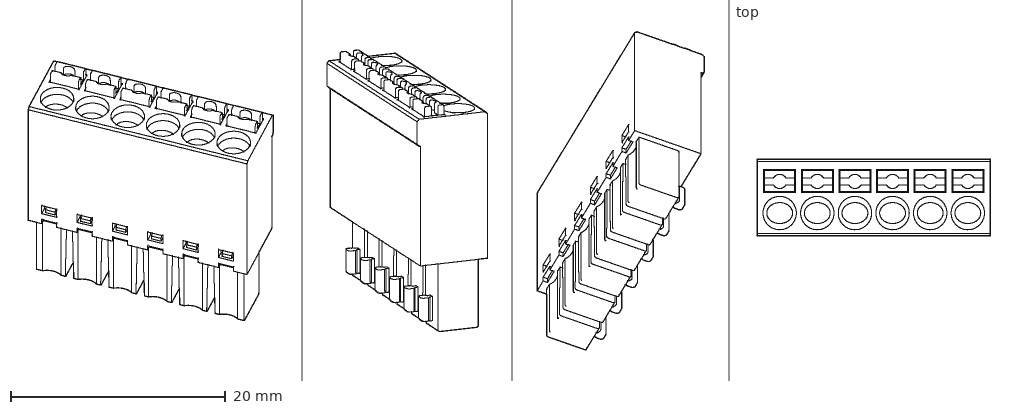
import cadquery as cq


pole_count = 6
pole_pitch = 3.5
pole_places = [(i - (pole_count - 1) / 2) * pole_pitch for i in range(pole_count)]

total_height = 21.9
body_width = 21.7
total_depth = 7.15

body_bottom = 6.75
body_top = 20.95
lip_depth = 0.33
lip_height = 2.63
body_back = total_depth - lip_depth
body_chamfer = 0.22

entry_diameter = 3.1
entry_y = 2.12
entry_depth = 0.88
funnel_depth = 0.72
oval_width = 2.4
oval_depth = 1.95
oval_hole_depth = 4.38

pocket_width = 2.98
pocket_front = 4.05
pocket_back = 6.18
pocket_depth = 0.44
button_width = 2.8
button_front = 4.12
button_back = 6.09
channel_front = 4.75
channel_back = 5.39
tool_notch_diameter = 1.31
button_fillet = 0.18

window_width = 1.5
window_bottom = 8.02
window_height = 1.0
window_depth = 0.77
wedge_width = 0.96
wedge_front = 0.26
wedge_step = 0.35
wedge_height = 0.85
notch_height = 0.53
notch_depth = 0.44

plug_front = 0.7
plug_back = 4.8
plug_top_half_width = 1.47
plug_tip_half_width = 1.34
plug_outer_half_width = 1.53
plug_fillet = 0.22
groove_width = 1.82
groove_depth = 0.28

latch_bottom = 0.75
latch_top = 3.09
latch_neck_length = 0.28
latch_flare_length = 0.25
latch_length = 1.2
latch_neck_width = 0.53
latch_head_width = latch_neck_width + 2 * latch_flare_length
latch_fillet = 0.33


def box(x_center, width, y_front, y_back, z_bottom, z_top):
    """Box centred on x_center and spanning the given Y and Z ranges."""
    return (
        cq.Workplane("XY")
        .box(width, y_back - y_front, z_top - z_bottom, centered=(True, False, False))
        .translate((x_center, y_front, z_bottom))
    )


def along_x(points, x_center, width):
    """Prism of the given width, with its (Y, Z) outline extruded along X."""
    return (
        cq.Workplane("YZ")
        .polyline(points)
        .close()
        .extrude(width)
        .translate((x_center - width / 2, 0, 0))
    )


def make_body():
    """Housing with chamfered top edges and a lip along the top of its back face."""
    lip_bottom = body_top - lip_height
    outline = [
        (0, body_bottom),
        (body_back, body_bottom),
        (body_back, lip_bottom),
        (total_depth - body_chamfer, lip_bottom),
        (total_depth, lip_bottom + body_chamfer),
        (total_depth, body_top - body_chamfer),
        (total_depth - body_chamfer, body_top),
        (body_chamfer, body_top),
        (0, body_top - body_chamfer),
    ]
    return along_x(outline, 0, body_width)


def make_wire_entry(x):
    """Cutter for one wire entry."""
    funnel_top = body_top - entry_depth
    funnel_bottom = funnel_top - funnel_depth
    entry = (
        cq.Workplane("XY", origin=(x, entry_y, funnel_top))
        .circle(entry_diameter / 2)
        .extrude(entry_depth)
    )
    funnel = (
        cq.Workplane("XY", origin=(x, entry_y, funnel_top))
        .ellipse(entry_diameter / 2, entry_diameter / 2)
        .workplane(offset=-funnel_depth)
        .ellipse(oval_width / 2, oval_depth / 2)
        .loft(combine=True)
    )
    oval_hole = (
        cq.Workplane("XY", origin=(x, entry_y, funnel_bottom))
        .ellipse(oval_width / 2, oval_depth / 2)
        .extrude(-oval_hole_depth)
    )
    return entry.union(funnel).union(oval_hole)


def make_button_strip(x, front, back):
    """Raised strip of a button, with both long top edges rounded."""
    strip = box(x, button_width, front, back, body_top, total_height)
    return strip.faces(">Z").edges("|X").fillet(button_fillet)


def make_button(x):
    """Button core with two strips, hollowed between them for the tool tip."""
    core = box(x, button_width, button_front, button_back, body_top - pocket_depth, body_top)
    front_strip = make_button_strip(x, button_front, channel_front)
    back_strip = make_button_strip(x, channel_back, button_back)
    channel_middle = (channel_front + channel_back) / 2
    tool_notch = (
        cq.Workplane("XY", origin=(x, channel_middle, body_top))
        .circle(tool_notch_diameter / 2)
        .extrude(total_height - body_top)
    )
    return core.union(front_strip.cut(tool_notch)).union(back_strip.cut(tool_notch))


def make_window(x):
    """Cutter for one test window, leaving a sloped wedge standing on its floor."""
    opening = box(x, window_width, 0, window_depth, window_bottom, window_bottom + window_height)
    wedge_outline = [
        (wedge_front, window_bottom),
        (window_depth, window_bottom),
        (window_depth, window_bottom + wedge_height),
        (wedge_front, window_bottom + wedge_step),
    ]
    return opening.cut(along_x(wedge_outline, x, wedge_width))


def make_plug(x):
    """Plug with drafted sides, a round groove down its front and a rounded tip."""
    left_half, right_half = -plug_top_half_width, plug_top_half_width
    left_tip, right_tip = -plug_tip_half_width, plug_tip_half_width
    if x == pole_places[0]:
        left_half = left_tip = -plug_outer_half_width
    if x == pole_places[-1]:
        right_half = right_tip = plug_outer_half_width
    blank = (
        cq.Workplane("XZ", origin=(x, plug_back, 0))
        .polyline([(left_tip, 0), (right_tip, 0), (right_half, body_bottom), (left_half, body_bottom)])
        .close()
        .extrude(plug_back - plug_front)
    )
    groove = (
        cq.Workplane("XY", origin=(x, plug_front, 0))
        .moveTo(-groove_width / 2, 0)
        .threePointArc((0, groove_depth), (groove_width / 2, 0))
        .close()
        .extrude(body_bottom)
    )
    return (
        blank.cut(groove)
        .faces("<Z")
        .edges("not |Y")
        .fillet(plug_fillet)
    )


def make_latch(x):
    """Mushroom-shaped rib: a neck that flares to a head with rounded back and lower edges."""
    neck = latch_neck_width / 2
    head = latch_head_width / 2
    flare_end = latch_neck_length + latch_flare_length
    half_outline = [(neck, 0), (neck, latch_neck_length), (head, flare_end), (head, latch_length)]
    mirrored = [(-px, py) for px, py in reversed(half_outline)]
    rib = (
        cq.Workplane("XY", origin=(x, plug_back, latch_bottom))
        .polyline(half_outline + mirrored)
        .close()
        .extrude(latch_top - latch_bottom)
    )
    envelope = (
        box(x, latch_head_width, plug_back, plug_back + latch_length, latch_bottom, latch_top)
        .edges("(>Y and |Z) or (<Z and (not <Y))")
        .fillet(latch_fillet)
    )
    return rib.intersect(envelope)


result = make_body()
for pole_x in pole_places:
    pocket = box(pole_x, pocket_width, pocket_front, pocket_back, body_top - pocket_depth, body_top)
    notch = box(pole_x, window_width, 0, notch_depth, body_bottom, body_bottom + notch_height)
    result = result.cut(pocket).cut(notch).cut(make_wire_entry(pole_x)).cut(make_window(pole_x))
    result = result.union(make_button(pole_x)).union(make_plug(pole_x)).union(make_latch(pole_x))